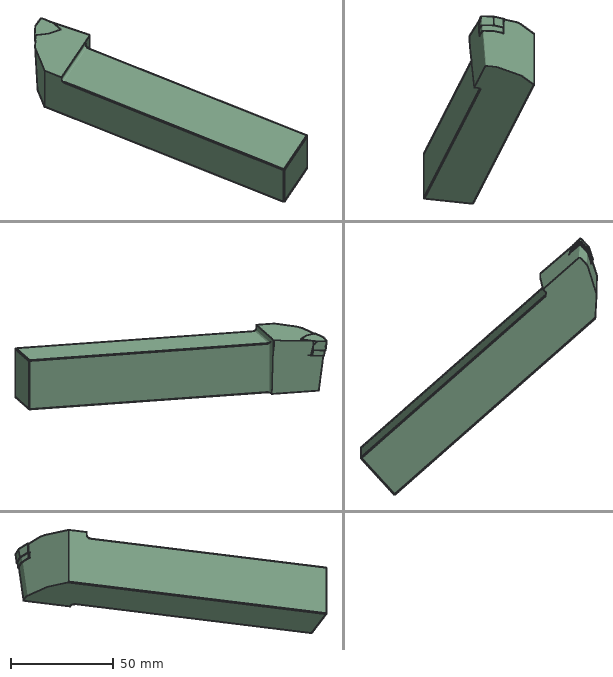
import cadquery as cq
import math

length = 150.0
shank_size = 25.0
shank_chamfer = 0.5
head_height = 28.0
head_length = 27.3
head_width = 30.6
step_fillet = 1.2
back_chamfer = 0.5
corner_reach = 18.0

lean_angle = 8.1
nose_x = 3.1
nose_y = 28.0
lead_start_y = 22.3
lead_end_y = 8.4
tip_fillet = 0.9
lead_fillet = 3.9
blend_fillet = 4.8

rake_angle = 7.0

upper_depth = 4.6
lower_depth = 2.8
upper_proud = 0.6
lower_proud = 0.3
insert_width = 30.9

seat_tip = (2.1, insert_width)
seat_side = (6.9, 30.5)
seat_corner = (12.5, 27.9)
seat_arc_start = (9.1, 23.5)
seat_arc_middle = (8.4, 22.6)
seat_arc_end = (7.5, 22.0)
seat_lead = (3.1, 19.0)
seat_exit_y = 17.0
seat_gap = 0.7

reach = 60.0

lean = math.tan(math.radians(lean_angle)) / math.sqrt(2)


def nose_prism(proud, lead_radius):
    """Leaning prism bounded by the nose flanks, moved outward by proud.

    A lead_radius of zero keeps the edge between the end and lead flanks sharp.
    """
    end_x = nose_x - proud
    side_y = nose_y + proud
    outline = [
        (end_x, side_y),
        (end_x, lead_start_y - proud / 4),
        (corner_reach - lead_end_y - proud, lead_end_y),
        (corner_reach - proud + reach, -reach),
        (2 * reach, -reach),
        (2 * reach, side_y),
    ]
    direction = cq.Vector(-lean, lean, 1) * (head_height + 1.5)
    base = cq.Face.makeFromWires(cq.Wire.makePolygon([cq.Vector(x, y, 0) for x, y in outline], close=True))
    prism = cq.Workplane(cq.Solid.extrudeLinear(base, direction))
    flank_edges = prism.edges(cq.selectors.ParallelDirSelector(direction)).vals()
    flank_edges.sort(key=lambda edge: edge.Center().x)
    lead_edge, tip_edge = sorted(flank_edges[:2], key=lambda edge: edge.Center().y)
    blend_edge = flank_edges[2]
    solid = prism.val().fillet(tip_fillet, [tip_edge]).fillet(blend_fillet, [blend_edge])
    if lead_radius > 0:
        solid = solid.fillet(lead_radius, [lead_edge])
    return cq.Workplane(solid)


def rake_layer(top_depth, bottom_depth):
    """Slab parallel to the rake face, between two depths below it."""
    angle = math.radians(rake_angle)
    fall = math.sin(angle) / math.sqrt(2)
    tilted = cq.Plane(origin=(0, 0, head_height), xDir=(1, 1, 0), normal=(-fall, fall, math.cos(angle)))
    return (cq.Workplane(tilted).workplane(offset=-bottom_depth)
            .rect(4 * reach, 4 * reach).extrude(bottom_depth - top_depth))


def insert_column():
    """Vertical column with the plan outline of the insert seat, open to the nose flanks."""
    return (cq.Workplane("XY")
            .moveTo(0, insert_width)
            .lineTo(*seat_tip)
            .lineTo(*seat_side)
            .lineTo(*seat_corner)
            .lineTo(*seat_arc_start)
            .threePointArc(seat_arc_middle, seat_arc_end)
            .lineTo(*seat_lead)
            .lineTo(0, seat_exit_y)
            .close().extrude(2 * head_height))


def make_insert():
    column = insert_column()
    upper_layer = rake_layer(0, upper_depth)
    lower_layer = rake_layer(upper_depth, upper_depth + lower_depth)
    upper = nose_prism(upper_proud, 0).intersect(column).intersect(upper_layer)
    lower = nose_prism(lower_proud, lead_fillet).intersect(column).intersect(lower_layer)
    return upper.union(lower)


def shank_block(start):
    """Plain square bar from X = start to the rear end."""
    block = cq.Workplane("XY").box(length - start, shank_size, shank_size, centered=False)
    return block.translate((start, 0, 0))


def chamfer_waste(start, edge_selector):
    """Material removed from the bar by chamfering the selected edges from X = start."""
    bar = shank_block(start)
    return bar.cut(bar.edges(edge_selector).chamfer(shank_chamfer))


def make_head():
    head = cq.Workplane("XY").box(head_length + reach, head_width, head_height, centered=False)
    head = head.translate((-reach, 0, 0)).edges(">X and >Y").chamfer(back_chamfer)
    return head.intersect(nose_prism(0, lead_fillet)).cut(rake_layer(-reach, 0))


def make_pocket():
    """Insert seat, with a clearance gap beside the lower tier along the lead wall."""
    seat_depth = upper_depth + lower_depth
    seat = insert_column().intersect(rake_layer(-reach, seat_depth))
    wall_x = seat_corner[0] - seat_side[0]
    wall_y = seat_corner[1] - seat_side[1]
    shift = seat_gap / math.hypot(wall_x, wall_y)
    relief = insert_column().translate((wall_x * shift, wall_y * shift, 0))
    return seat.union(relief.intersect(rake_layer(upper_depth, seat_depth)))


def make_holder():
    body = make_head().union(shank_block(corner_reach))
    top_step = cq.selectors.NearestToPointSelector((head_length, shank_size / 2, shank_size))
    side_step = cq.selectors.NearestToPointSelector((head_length, shank_size, shank_size / 2))
    body = body.edges(cq.selectors.SumSelector(top_step, side_step)).fillet(step_fillet)
    body = body.cut(chamfer_waste(corner_reach, "<Y and <Z"))
    body = body.cut(chamfer_waste(head_length + step_fillet, "|X or >X"))
    return body.cut(make_pocket())


holder = make_holder()
insert = make_insert()
result = cq.Compound.makeCompound([holder.val(), insert.val()])